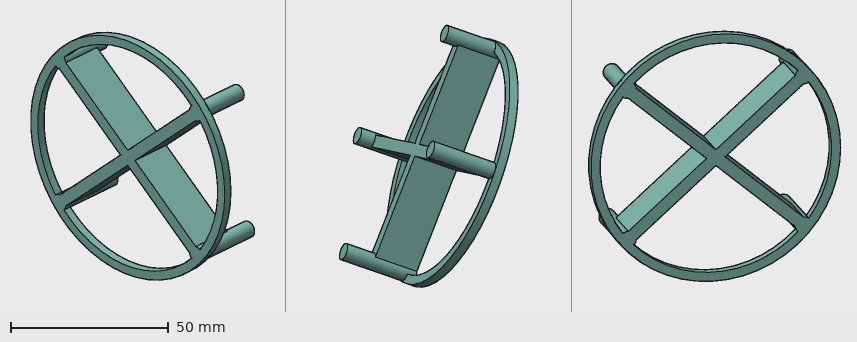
import cadquery as cq
import math

ring_diameter = 82.0
ring_thickness = 3.0
ring_wall = 3.0

rib_width = 4.0
rib_depth = 15.0

pin_diameter = 5.5
pin_x = 28.9
pin_z = 24.85
lower_pin_length = 25.0
upper_pin_length = 20.0

rib_angle = math.degrees(math.atan2(pin_z, pin_x))
rib_length = 2 * math.hypot(pin_x, pin_z)


def front_plane():
    """Workplane on the front face: local x is +X, local y is +Z."""
    return cq.Workplane("XZ")


def make_ring():
    inner_diameter = ring_diameter - 2 * ring_wall
    return front_plane().circle(ring_diameter / 2).circle(inner_diameter / 2).extrude(-ring_thickness)


def make_rib(angle):
    """Rib through the centre, joining two diagonally opposite pins."""
    return (
        front_plane()
        .transformed(rotate=(0, 0, angle))
        .rect(rib_length, rib_width)
        .extrude(-rib_depth)
    )


def make_pin_pair(z, length):
    return (
        front_plane()
        .pushPoints([(-pin_x, z), (pin_x, z)])
        .circle(pin_diameter / 2)
        .extrude(-length)
    )


result = make_ring()
for angle in (rib_angle, -rib_angle):
    result = result.union(make_rib(angle))
for z, length in ((pin_z, upper_pin_length), (-pin_z, lower_pin_length)):
    result = result.union(make_pin_pair(z, length))